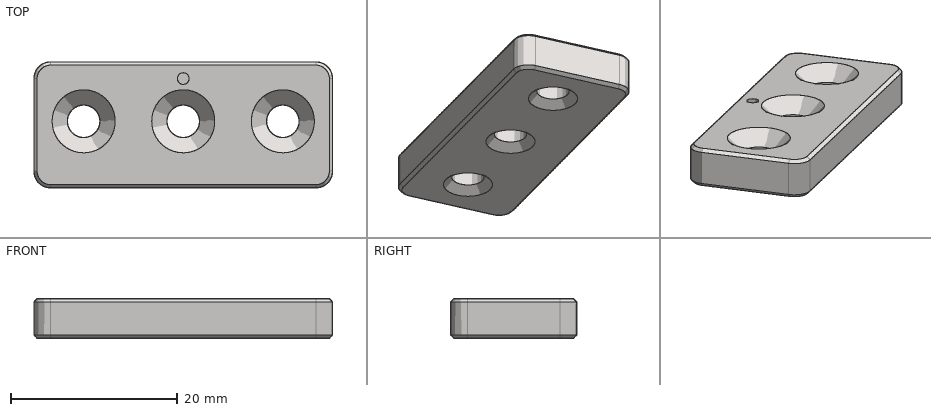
import cadquery as cq

length = 36.0
width = 15.2
height = 4.8
corner_radius = 2.0
edge_chamfer = 0.4

hole_count = 3
hole_pitch = length / hole_count
hole_row_y = 0.45
hole_diameter = 3.9
countersink_diameter = 7.6
countersink_angle = 90.0
hole_bottom_chamfer = 1.0

dimple_diameter = 1.4
dimple_depth = 0.6
dimple_y = 5.58


def make_plate():
    """Rounded rectangular plate with chamfered top and bottom rims."""
    return (
        cq.Workplane("XY")
        .box(length, width, height, centered=(True, True, False))
        .edges("|Z")
        .fillet(corner_radius)
        .faces("<Z or >Z")
        .chamfer(edge_chamfer)
    )


def cut_screw_holes(body):
    """Through holes along X, countersunk on top and chamfered at the bottom rim."""
    drilled = (
        body.faces(">Z")
        .workplane(origin=(0, hole_row_y, height))
        .rarray(hole_pitch, 0.35, hole_count, 1)
        .cskHole(hole_diameter, countersink_diameter, countersink_angle)
    )
    inner_zone = cq.selectors.BoxSelector(
        (-length / 2, hole_row_y - hole_diameter, -edge_chamfer),
        (length / 2, hole_row_y + hole_diameter, edge_chamfer),
    )
    return drilled.faces("<Z").edges("%CIRCLE").edges(inner_zone).chamfer(hole_bottom_chamfer)


def cut_dimple(body):
    """Flat-bottomed blind dimple in the top face."""
    return (
        body.faces(">Z")
        .workplane(origin=(0, dimple_y, height))
        .hole(dimple_diameter, dimple_depth)
    )


result = cut_dimple(cut_screw_holes(make_plate()))